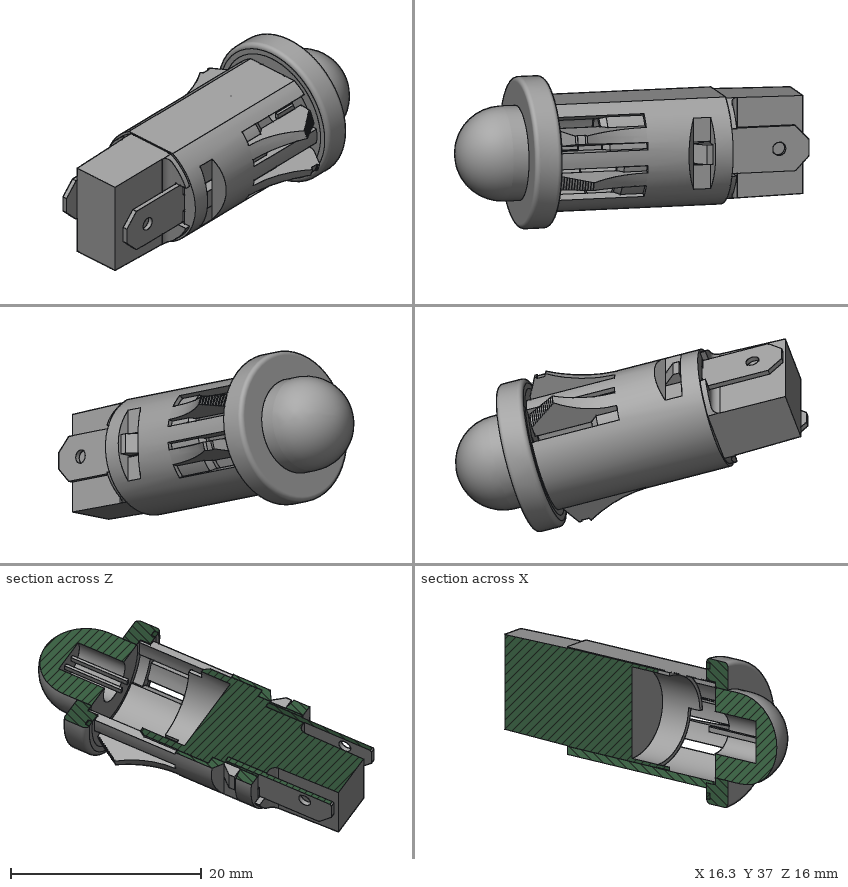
import cadquery as cq
import math


LENS_RADIUS = 5.0
LENS_CAVITY_RADIUS = 2.3
LENS_CAVITY_END_Y = 6.65
LENS_POST_X = 0.65
LENS_POST_WIDTH = 0.35
LENS_POST_HEIGHT = 0.55
LENS_POST_END_Y = -0.07
LENS_TIP_Y = 9.55

FLANGE_RADIUS = 8.0
FLANGE_THICKNESS = 2.93
FLANGE_ROUND = 0.5

BARREL_RADIUS = 6.35
BARREL_REAR_Y = -18.8
BARREL_FLAT_Z = 5.52
BORE_RADIUS = 5.4
SPIGOT_RADIUS = 5.7
SPIGOT_DEPTH = 1.2

GASKET_INNER_RADIUS = 6.85
GASKET_OUTER_RADIUS = 7.45
GASKET_DEPTH = 0.5

SLOT_REAR_Y = -9.63
SLOT_INNER_X = 2.95
SLOT_OUTER_X = 7.4
SLOT_TOP_Z = (3.52, 6.05)
SLOT_BOTTOM_Z = (1.2, 0.75)

ARM_INNER_X = 3.7
ARM_OUTER_X = 8.9
ARM_TOP_Z = (3.25, 2.85)
ARM_BOTTOM_Z = (1.05, 2.3)
ARM_FRONT_Y = -0.35
ARM_FLARE_MID_RADIUS = 6.75
ARM_FLARE_MID_Y = -6.63

HOOK_RAMP_START_RADIUS = 6.37
HOOK_RIM_RADIUS = 8.25
HOOK_RIM_Y = (-1.37, -1.63)
HOOK_SEAT_RADIUS = 8.1
HOOK_SEAT_END_Y = -2.5
HOOK_PEAK_RADIUS = 8.4
HOOK_PEAK_Y = -2.63

STEP_COUNT = 12
STEPS_START_RADIUS = 6.45
STEPS_PEAK_RADIUS = 8.3
STEPS_PEAK_Y = -3.35

WINDOW_FLOOR_X = 5.07
WINDOW_RAMP_TOP_Y = -14.05
WINDOW_FRONT_Y = -14.85
WINDOW_REAR_Y = -16.7
WINDOW_REAR_TOP_Y = -16.93
WINDOW_OPENING_HALF_WIDTH = 1.22

INSERT_RADIUS = 5.85
INSERT_FLAT_Z = 5.37
INSERT_FRONT_Y = -4.95
INSERT_SHORT_FRONT_Y = -6.52
INSERT_CHAMFER_LENGTH = 0.65
INSERT_HOLLOW_RADIUS = 5.0
INSERT_HOLLOW_END_Y = -10.0
INSERT_SIDE_FLAT_X = 4.8
INSERT_SIDE_FLAT_START_Y = -13.35

FOOT_RADIUS = 6.07
FOOT_REAR_Y = -19.4
FOOT_NOTCH_HALF_WIDTH = 2.52

BLOCK_HALF_WIDTH = 2.85
BLOCK_END_HALF_WIDTH = 2.7
BLOCK_REAR_Y = -27.3
BLOCK_FILLET = 0.75

LATCH_HALF_WIDTH = 1.05
LATCH_TOP_X = 6.1
LATCH_RAMP_END_Y = -16.05

TERMINAL_INNER_X = 4.05
TERMINAL_THICKNESS = 0.52
TERMINAL_HALF_WIDTH = 2.4
TERMINAL_FRONT_Y = -14.8
TERMINAL_TIP_Y = LENS_TIP_Y - 37.05
TERMINAL_TAPER_START_Y = -26.0
TERMINAL_TIP_HALF_WIDTH = 0.9
TERMINAL_HOLE_RADIUS = 0.7
TERMINAL_HOLE_Y = -24.25

TERMINAL_OUTER_X = TERMINAL_INNER_X + TERMINAL_THICKNESS
SIDES = (1, -1)
REACH = 11.1


def cylinder(radius, front_y, rear_y):
    return cq.Workplane("XZ", origin=(0, front_y, 0)).circle(radius).extrude(front_y - rear_y)


def block(x_range, y_range, z_range):
    size = [abs(high - low) for low, high in (x_range, y_range, z_range)]
    centre = tuple((low + high) / 2 for low, high in (x_range, y_range, z_range))
    return cq.Workplane("XY").box(*size).translate(centre)


def revolved(profile):
    """Turn a closed half profile, drawn as (radius, y), about the Y axis."""
    return profile.revolve(360, (0, 0, 0), (0, 1, 0))


def quarter_prism(side_x, side_z, x_range, bottom_z, top_z, front_y, rear_y):
    """A four-sided prism along Y in one quarter of the cross-section."""
    corners = [
        (side_x * x_range[0], side_z * bottom_z[0]),
        (side_x * x_range[1], side_z * bottom_z[1]),
        (side_x * x_range[1], side_z * top_z[1]),
        (side_x * x_range[0], side_z * top_z[0]),
    ]
    plane = cq.Workplane("XZ", origin=(0, front_y, 0))
    return plane.polyline(corners).close().extrude(front_y - rear_y)


def side_plate(points, half_width, side_x):
    """An (x, y) outline extruded symmetrically in Z, on the +X or the -X side."""
    outline = [(side_x * x, y) for x, y in points]
    return cq.Workplane("XY").polyline(outline).close().extrude(half_width, both=True)


def make_lens():
    """Domed lens, hollow from the rear, with two slender posts inside."""
    dome_base_y = LENS_TIP_Y - LENS_RADIUS
    diagonal = LENS_RADIUS * math.sqrt(0.5)
    profile = (
        cq.Workplane("XY")
        .moveTo(LENS_CAVITY_RADIUS, SPIGOT_DEPTH)
        .lineTo(LENS_RADIUS, SPIGOT_DEPTH)
        .lineTo(LENS_RADIUS, dome_base_y)
        .threePointArc((diagonal, dome_base_y + diagonal), (0, LENS_TIP_Y))
        .lineTo(0, LENS_CAVITY_END_Y)
        .lineTo(LENS_CAVITY_RADIUS, LENS_CAVITY_END_Y)
        .close()
    )
    lens = revolved(profile)
    for side_x in SIDES:
        post = block(
            (side_x * LENS_POST_X - LENS_POST_WIDTH / 2, side_x * LENS_POST_X + LENS_POST_WIDTH / 2),
            (LENS_POST_END_Y, LENS_CAVITY_END_Y),
            (-LENS_POST_HEIGHT / 2, LENS_POST_HEIGHT / 2),
        )
        lens = lens.union(post)
    return lens


def make_gasket():
    ring = cylinder(GASKET_OUTER_RADIUS, GASKET_DEPTH, 0)
    return ring.cut(cylinder(GASKET_INNER_RADIUS, GASKET_DEPTH, 0))


def plug(front_y):
    """Solid of revolution with a conical nose, from front_y to the barrel's rear."""
    profile = (
        cq.Workplane("XY")
        .moveTo(0, front_y)
        .lineTo(BORE_RADIUS, front_y)
        .lineTo(INSERT_RADIUS, front_y - INSERT_CHAMFER_LENGTH)
        .lineTo(INSERT_RADIUS, BARREL_REAR_Y)
        .lineTo(0, BARREL_REAR_Y)
        .close()
    )
    return revolved(profile)


def insert_envelope():
    """Outer shape of the insert inside the barrel: two opposite quarters reach further forward."""
    envelope = plug(INSERT_SHORT_FRONT_Y)
    long_plug = plug(INSERT_FRONT_Y)
    for side in SIDES:
        quarter = block((0, -side * REACH), (INSERT_FRONT_Y, BARREL_REAR_Y), (0, side * REACH))
        envelope = envelope.union(long_plug.intersect(quarter))
    flat_z = (-INSERT_FLAT_Z, INSERT_FLAT_Z)
    side_x = (-INSERT_SIDE_FLAT_X, INSERT_SIDE_FLAT_X)
    front_limits = block((-REACH, REACH), (INSERT_FRONT_Y, INSERT_SIDE_FLAT_START_Y), flat_z)
    rear_limits = block(side_x, (INSERT_SIDE_FLAT_START_Y, BARREL_REAR_Y), flat_z)
    return envelope.intersect(front_limits.union(rear_limits))


def flared_outline(peak_radius, peak_y):
    """Arm outline from the bore, along the slot end and up the flare to the peak."""
    return (
        cq.Workplane("XY")
        .moveTo(BORE_RADIUS, ARM_FRONT_Y)
        .lineTo(BORE_RADIUS, SLOT_REAR_Y)
        .lineTo(BARREL_RADIUS, SLOT_REAR_Y)
        .threePointArc((ARM_FLARE_MID_RADIUS, ARM_FLARE_MID_Y), (peak_radius, peak_y))
    )


def hooked_ring():
    outline = (
        flared_outline(HOOK_PEAK_RADIUS, HOOK_PEAK_Y)
        .lineTo(HOOK_SEAT_RADIUS, HOOK_SEAT_END_Y)
        .lineTo(HOOK_SEAT_RADIUS, HOOK_RIM_Y[1])
        .lineTo(HOOK_RIM_RADIUS, HOOK_RIM_Y[1])
        .lineTo(HOOK_RIM_RADIUS, HOOK_RIM_Y[0])
        .lineTo(HOOK_RAMP_START_RADIUS, ARM_FRONT_Y)
    )
    return revolved(outline.close())


def serrated_ring():
    rise = (STEPS_PEAK_RADIUS - STEPS_START_RADIUS) / STEP_COUNT
    run = (ARM_FRONT_Y - STEPS_PEAK_Y) / STEP_COUNT
    outline = flared_outline(STEPS_PEAK_RADIUS, STEPS_PEAK_Y)
    for step in range(1, STEP_COUNT + 1):
        radius = STEPS_PEAK_RADIUS - step * rise
        y = STEPS_PEAK_Y + step * run
        outline = outline.lineTo(radius, y - run).lineTo(radius, y)
    return revolved(outline.close())


def spring_arm(ring, side_x, side_z):
    wedge = quarter_prism(
        side_x, side_z, (ARM_INNER_X, ARM_OUTER_X), ARM_BOTTOM_Z, ARM_TOP_Z, 0, SLOT_REAR_Y
    )
    return ring.intersect(wedge)


def slot(side_x, side_z):
    x_range = (SLOT_INNER_X, SLOT_OUTER_X)
    return quarter_prism(
        side_x, side_z, x_range, SLOT_BOTTOM_Z, SLOT_TOP_Z, SPIGOT_DEPTH, SLOT_REAR_Y
    )


def latch_window(side_x):
    """V-shaped notch across the barrel with an opening for the latch in its floor."""
    ramp_slope = (WINDOW_FRONT_Y - WINDOW_RAMP_TOP_Y) / (BARREL_RADIUS - WINDOW_FLOOR_X)
    rear_slope = (WINDOW_REAR_Y - WINDOW_REAR_TOP_Y) / (BARREL_RADIUS - WINDOW_FLOOR_X)
    depth_beyond = REACH - WINDOW_FLOOR_X
    notch = [
        (WINDOW_FLOOR_X, WINDOW_FRONT_Y),
        (WINDOW_FLOOR_X, WINDOW_REAR_Y),
        (REACH, WINDOW_REAR_Y - rear_slope * depth_beyond),
        (REACH, WINDOW_FRONT_Y - ramp_slope * depth_beyond),
    ]
    opening = block(
        (side_x * INSERT_SIDE_FLAT_X, side_x * WINDOW_FLOOR_X),
        (WINDOW_FRONT_Y, WINDOW_REAR_Y),
        (-WINDOW_OPENING_HALF_WIDTH, WINDOW_OPENING_HALF_WIDTH),
    )
    return side_plate(notch, BARREL_RADIUS, side_x).union(opening)


def barrel_cylinder(radius, front_y, rear_y):
    """Cylinder with the flat that runs along the top of the barrel."""
    limits = block((-REACH, REACH), (front_y, rear_y), (-REACH, BARREL_FLAT_Z))
    return cylinder(radius, front_y, rear_y).intersect(limits)


def make_barrel(envelope):
    spigot = barrel_cylinder(SPIGOT_RADIUS, SPIGOT_DEPTH, 0)
    barrel = barrel_cylinder(BARREL_RADIUS, 0, BARREL_REAR_Y).union(spigot)
    barrel = barrel.cut(cylinder(BORE_RADIUS, SPIGOT_DEPTH, INSERT_SHORT_FRONT_Y))
    hooks = hooked_ring()
    serrations = serrated_ring()
    for side_x in SIDES:
        for side_z in SIDES:
            ring = serrations if side_x == side_z else hooks
            barrel = barrel.cut(slot(side_x, side_z)).union(spring_arm(ring, side_x, side_z))
    barrel = barrel.cut(envelope)
    for side_x in SIDES:
        barrel = barrel.cut(latch_window(side_x))
    return barrel


def make_flange(gasket):
    flange = cylinder(FLANGE_RADIUS, FLANGE_THICKNESS, 0).edges().fillet(FLANGE_ROUND)
    flange = flange.cut(cylinder(LENS_RADIUS, FLANGE_THICKNESS, SPIGOT_DEPTH))
    return flange.cut(barrel_cylinder(SPIGOT_RADIUS, SPIGOT_DEPTH, 0)).cut(gasket)


def make_terminal(side_x):
    outline = [
        (TERMINAL_FRONT_Y, TERMINAL_HALF_WIDTH),
        (TERMINAL_TAPER_START_Y, TERMINAL_HALF_WIDTH),
        (TERMINAL_TIP_Y, TERMINAL_TIP_HALF_WIDTH),
        (TERMINAL_TIP_Y, -TERMINAL_TIP_HALF_WIDTH),
        (TERMINAL_TAPER_START_Y, -TERMINAL_HALF_WIDTH),
        (TERMINAL_FRONT_Y, -TERMINAL_HALF_WIDTH),
    ]
    thickness = side_x * TERMINAL_THICKNESS
    plane = cq.Workplane("YZ", origin=(side_x * TERMINAL_INNER_X, 0, 0))
    blade = plane.polyline(outline).close().extrude(thickness)
    hole = plane.center(TERMINAL_HOLE_Y, 0).circle(TERMINAL_HOLE_RADIUS).extrude(thickness)
    return blade.cut(hole)


def drafted_block(half_width):
    """Block from the barrel's rear to the tail end, narrowing by the draft on all four sides."""
    length = BARREL_REAR_Y - BLOCK_REAR_Y
    draft = math.degrees(math.atan2(BLOCK_HALF_WIDTH - BLOCK_END_HALF_WIDTH, length))
    plane = cq.Workplane("XZ", origin=(0, BARREL_REAR_Y, 0))
    return plane.rect(2 * half_width, 2 * INSERT_FLAT_Z).extrude(length, taper=draft)


def make_foot():
    foot = cylinder(FOOT_RADIUS, BARREL_REAR_Y, FOOT_REAR_Y)
    foot = foot.intersect(drafted_block(REACH))
    for side_x in SIDES:
        notch = block(
            (side_x * TERMINAL_INNER_X, side_x * REACH),
            (BARREL_REAR_Y, FOOT_REAR_Y),
            (-FOOT_NOTCH_HALF_WIDTH, FOOT_NOTCH_HALF_WIDTH),
        )
        foot = foot.cut(notch)
    return foot


def foot_fillet(side_x):
    """Concave fillet between the foot and one side of the tail block."""
    inner_x = BLOCK_END_HALF_WIDTH
    root_x = BLOCK_HALF_WIDTH
    offset = BLOCK_FILLET * (1 - math.sqrt(0.5))
    fillet = (
        cq.Workplane("XY")
        .moveTo(side_x * inner_x, FOOT_REAR_Y)
        .lineTo(side_x * (root_x + BLOCK_FILLET), FOOT_REAR_Y)
        .threePointArc(
            (side_x * (root_x + offset), FOOT_REAR_Y - offset),
            (side_x * root_x, FOOT_REAR_Y - BLOCK_FILLET),
        )
        .lineTo(side_x * inner_x, FOOT_REAR_Y - BLOCK_FILLET)
        .close()
        .extrude(INSERT_FLAT_Z, both=True)
    )
    fillet = fillet.intersect(cylinder(FOOT_RADIUS, FOOT_REAR_Y, FOOT_REAR_Y - BLOCK_FILLET))
    return fillet.intersect(drafted_block(REACH))


def latch(side_x):
    """Ramped tooth that snaps into the barrel's window."""
    outline = [
        (TERMINAL_OUTER_X, WINDOW_FRONT_Y),
        (WINDOW_FLOOR_X, WINDOW_FRONT_Y),
        (LATCH_TOP_X, LATCH_RAMP_END_Y),
        (LATCH_TOP_X, WINDOW_REAR_Y),
        (TERMINAL_OUTER_X, WINDOW_REAR_Y),
    ]
    return side_plate(outline, LATCH_HALF_WIDTH, side_x)


def latch_groove(side_x):
    """Shallow groove from the latch to the rear, beside the terminal."""
    return block(
        (side_x * TERMINAL_OUTER_X, side_x * INSERT_SIDE_FLAT_X),
        (WINDOW_REAR_Y, BARREL_REAR_Y),
        (-LATCH_HALF_WIDTH, LATCH_HALF_WIDTH),
    )


def make_insert(envelope, terminals):
    insert = envelope.cut(cylinder(INSERT_HOLLOW_RADIUS, 0, INSERT_HOLLOW_END_Y))
    insert = insert.union(make_foot()).union(drafted_block(BLOCK_HALF_WIDTH))
    for side_x in SIDES:
        insert = insert.union(foot_fillet(side_x)).union(latch(side_x))
        insert = insert.cut(latch_groove(side_x))
    for terminal in terminals:
        insert = insert.cut(terminal)
    return insert


lens = make_lens()
gasket = make_gasket()
terminals = [make_terminal(side_x) for side_x in SIDES]
envelope = insert_envelope()
barrel = make_barrel(envelope)
flange = make_flange(gasket)
insert = make_insert(envelope, terminals)

bodies = [lens, flange, gasket, barrel, insert, *terminals]
result = cq.Compound.makeCompound([body.solids().val() for body in bodies])